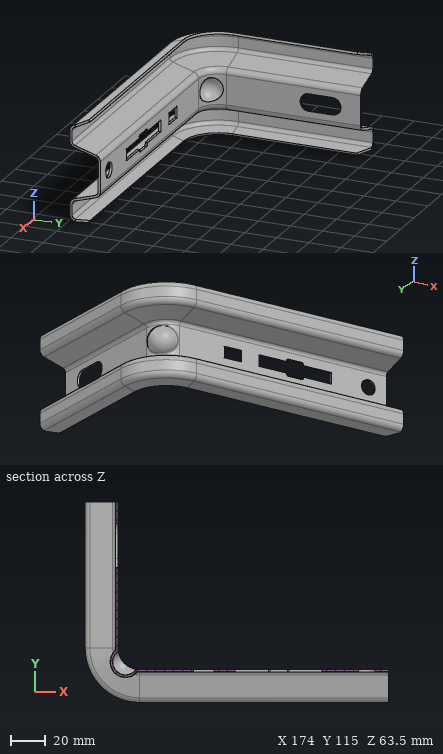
import cadquery as cq
import math

arm_x_length = 174.0
arm_y_length = 115.0
height = 63.5
sheet = 1.5

depth = 19.1
lip_depth = 9.5
flange_angle = 17.0
flank_height = 16.5
outer_radius = 4.0
web_radius = 2.5

bend_radius = 31.3
bend_angle = 90.0
bend_center = (bend_radius, bend_radius, 0)

lip_bevel = 6.1

short_slot_start = 62.3
short_slot_length = 11.7
narrow_height = 7.0
key_slot_start = 86.1
key_slot_length = 49.8
key_width = 11.7
key_height = 10.5
key_chamfer = 0.9
round_hole_x = 161.5
round_hole_diameter = 9.2
oblong_center_from_end = 25.0
oblong_length = 25.2
oblong_height = 10.6

dome_radius = 8.9
dome_center_distance = 11.3
dome_root_fillet = 0.7

web_face = depth - sheet
web_bend_radius = bend_radius - web_face
slope = math.tan(math.radians(flange_angle))
wall_top = height / 2 - lip_depth * slope


def unit(start, end):
    length = math.dist(start, end)
    return ((end[0] - start[0]) / length, (end[1] - start[1]) / length)


def offset_path(points, distance):
    """Shift an open polyline to its left, keeping mitred corners."""
    shifted = []
    last = len(points) - 1
    for i, (x, z) in enumerate(points):
        before = unit(points[max(i - 1, 0)], points[max(i, 1)])
        after = unit(points[min(i, last - 1)], points[min(i + 1, last)])
        scale = distance / (1 + before[0] * after[0] + before[1] * after[1])
        shifted.append((x - (before[1] + after[1]) * scale, z + (before[0] + after[0]) * scale))
    return shifted


def draw_rounded(sketch, points, radii):
    """Draw from the first point to the last, rounding the corners between them."""
    for before, corner, after, radius in zip(points, points[1:], points[2:], radii):
        into = unit(before, corner)
        out = unit(corner, after)
        turn = math.acos(into[0] * out[0] + into[1] * out[1])
        setback = radius * math.tan(turn / 2)
        arc_start = (corner[0] - into[0] * setback, corner[1] - into[1] * setback)
        arc_end = (corner[0] + out[0] * setback, corner[1] + out[1] * setback)
        sketch = sketch.lineTo(*arc_start).tangentArcPoint(arc_end, relative=False)
    return sketch.lineTo(*points[-1])


def section(plane):
    """Closed outline of the sheet section on a plane whose axes are depth and height."""
    upper = [
        (lip_depth, height / 2),
        (0, wall_top),
        (0, flank_height),
        (web_face, flank_height - web_face * slope),
    ]
    outside = upper + [(x, -z) for x, z in reversed(upper)]
    inside = offset_path(outside, sheet)
    outside_radii = [outer_radius, outer_radius, web_radius]
    inside_radii = [outer_radius - sheet, outer_radius - sheet, web_radius + sheet]
    sketch = cq.Workplane(plane).moveTo(*outside[0])
    sketch = draw_rounded(sketch, outside, outside_radii + outside_radii[::-1])
    sketch = sketch.lineTo(*inside[-1])
    sketch = draw_rounded(sketch, inside[::-1], inside_radii + inside_radii[::-1])
    return sketch.close()


def make_rail():
    arm_x_plane = cq.Plane(origin=(bend_radius, 0, 0), xDir=(0, 1, 0), normal=(1, 0, 0))
    arm_y_plane = cq.Plane(origin=(0, bend_radius, 0), xDir=(1, 0, 0), normal=(0, -1, 0))
    arm_x = section(arm_x_plane).extrude(arm_x_length - bend_radius)
    arm_y = section(arm_y_plane).extrude(bend_radius - arm_y_length)
    bend = section(arm_x_plane).revolve(bend_angle, (bend_radius, 1.7, 0), (bend_radius, 0, 0))
    return arm_x.union(bend).union(arm_y)


def lip_bevels():
    """Corner cutters for the upper and lower lips at both free ends."""
    bevel_start = lip_depth - lip_bevel
    floor = (wall_top + flank_height) / 2

    def corner(end, along_y):
        points = [
            (end - lip_bevel, lip_depth),
            (end, bevel_start),
            (end, depth),
            (end - lip_bevel, depth),
        ]
        if along_y:
            points = [(y, x) for x, y in points]
        return cq.Workplane().workplane(offset=floor).polyline(points).close().extrude(height)

    upper = corner(arm_x_length, False).union(corner(arm_y_length, True))
    return upper.union(upper.mirror("XY"))


def web_openings():
    face_x = cq.Workplane("XZ")
    face_y = cq.Workplane("YZ")
    cut_x = -depth

    short_slot = face_x.center(short_slot_start + short_slot_length / 2, 0)
    short_slot = short_slot.rect(short_slot_length, narrow_height).extrude(cut_x)

    key_slot = face_x.center(key_slot_start + key_slot_length / 2, 0)
    key_ends = key_slot.rect(key_slot_length, narrow_height).extrude(cut_x)
    key_middle = key_slot.rect(key_width, key_height).extrude(cut_x).edges("|Y").chamfer(key_chamfer)

    round_hole = face_x.center(round_hole_x, 0).circle(round_hole_diameter / 2).extrude(cut_x)

    oblong = face_y.center(arm_y_length - oblong_center_from_end, 0)
    oblong = oblong.slot2D(oblong_length, oblong_height).extrude(depth)
    return short_slot.union(key_ends).union(key_middle).union(round_hole).union(oblong)


def web_bend_cylinder(radius):
    """Upright cylinder about the bend axis, as tall as the flat of the web."""
    web_corner_setback = web_radius * math.tan(math.radians(90 - flange_angle) / 2)
    web_height = 2 * (flank_height - web_face * slope - web_corner_setback)
    return cq.Workplane().cylinder(web_height, radius).translate(bend_center)


def add_dome(rail):
    """Press a hollow spherical dome out of the web on the diagonal of the bend."""
    offset = bend_radius - dome_center_distance / math.sqrt(2)
    dome_center = (offset, offset, 0)
    ball = cq.Workplane().sphere(dome_radius).translate(dome_center)
    bulge = web_bend_cylinder(web_bend_radius).union(ball)
    bulge = bulge.edges("not (%CIRCLE or %LINE)").fillet(dome_root_fillet)
    bulge = bulge.cut(web_bend_cylinder(web_bend_radius - sheet))
    bend_corner = cq.Workplane().box(bend_radius, bend_radius, height, centered=(False, False, True))
    hollow = cq.Workplane().sphere(dome_radius - sheet).translate(dome_center)
    return rail.union(bulge.intersect(bend_corner)).cut(hollow)


result = add_dome(make_rail()).cut(lip_bevels()).cut(web_openings())